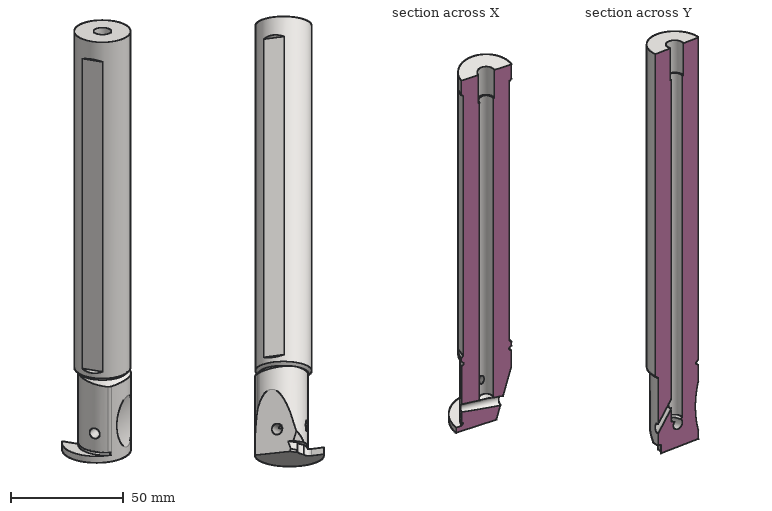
import cadquery as cq
import math

total_length = 202.7
shank_radius = 12.5
shank_bottom = 40.1

flat_distance = 11.5
flat_bottom = 43.4
flat_top = 193.2

neck_radius = 11.1
neck_z = shank_bottom - (shank_radius - neck_radius)

disc_radius = 15.5
disc_center_x = shank_radius - disc_radius
disc_thickness = 3.2

head_radius = shank_radius
head_offset = 1.8
ridge_radius = 4.0
head_edge_x = 8.1
undercut_top = disc_thickness + 1.2
undercut_depth = 0.8

relief_y = 5.0
relief_slope = 15.0
relief_twist = 4.0

tooth_y = -4.3
pocket_height = undercut_top
pocket_wall_x = -7.7
pocket_corner = 2.5
pocket_step = 1.5
pocket_step_y = -1.2
pocket_arc_y = 1.8
pocket_bend_y = 2.6
pocket_end_x = -3.0
pocket_end_y = 7.5

facet_point = (-10.1, pocket_bend_y, pocket_height)
facet_normal = (-1.0, 1.0, -0.7)

scoop_radius = 46.6
scoop_face_x = 11.0
scoop_z = 16.8
scoop_turn = -5.0

bore_diameter = 6.7
bore_bottom = 14.2
bore_mouth_diameter = 8.0
bore_mouth_depth = 16.2
drill_point_angle = 118.0
screw_diameter = 4.9
screw_x = 1.5
screw_z = 13.4
screw_tilt = 9.0
coolant_diameter = 2.8
coolant_y = -0.8
coolant_z = 13.0
coolant_rise = 53.0

tool_size = 81.0


def cylinder(radius, bottom, height, x=0.0):
    return cq.Workplane("XY", origin=(x, 0, bottom)).circle(radius).extrude(height)


def hole(entry, direction, diameter, length):
    """Straight hole that starts one diameter outside its entry point."""
    axis = cq.Vector(*direction).normalized()
    start = cq.Vector(*entry) - axis * diameter
    return cq.Workplane(obj=cq.Solid.makeCylinder(diameter / 2, length + diameter, start, axis))


def half_space(point, normal):
    """Block on the outer side of a plane given by a point and its normal."""
    return cq.Workplane(cq.Plane(origin=point, normal=normal)).rect(tool_size, tool_size).extrude(tool_size)


def make_shank():
    shank = cylinder(shank_radius, shank_bottom, total_length - shank_bottom)
    depth = shank_radius - flat_distance
    outline = [
        (flat_distance, flat_bottom),
        (flat_distance, flat_top),
        (shank_radius, flat_top + depth),
        (shank_radius, flat_bottom - depth),
    ]
    for side in (-1, 1):
        points = [(side * y, z) for y, z in outline]
        flat = cq.Workplane("YZ").polyline(points).close().extrude(shank_radius, both=True)
        shank = shank.cut(flat)
    return shank


def make_neck():
    flare_radius = disc_radius
    flare_z = neck_z - (flare_radius - neck_radius)
    profile = [
        (0, shank_bottom),
        (shank_radius, shank_bottom),
        (neck_radius, neck_z),
        (flare_radius, flare_z),
        (flare_radius, 0),
        (0, 0),
    ]
    return cq.Workplane("XZ").polyline(profile).close().revolve()


def make_head():
    left = cylinder(head_radius, 0, neck_z, head_offset)
    right = cylinder(disc_radius, 0, neck_z, disc_center_x)
    body = left.intersect(right).edges("|Z and (not >X)").fillet(ridge_radius)
    return body.intersect(make_neck()).cut(make_undercut())


def make_undercut():
    outer_radius = head_radius + undercut_depth
    profile = [
        (head_radius - undercut_depth, undercut_top),
        (outer_radius, undercut_top),
        (outer_radius, disc_thickness),
        (head_radius, disc_thickness),
    ]
    ring = cq.Workplane("XZ").polyline(profile).close().revolve(360, (0, 0), (0, 1))
    return ring.translate((head_offset, 0, 0)).cut(half_space((head_edge_x, 0, 0), (1, 0, 0)))


def make_back_relief():
    slope = math.radians(relief_slope)
    twist = math.radians(relief_twist)
    normal = (-math.sin(twist) * math.cos(slope), math.cos(twist) * math.cos(slope), -math.sin(slope))
    return half_space((0, relief_y, 0), normal)


def make_chip_pocket():
    outer = -tool_size / 2
    diagonal = pocket_corner * math.sqrt(0.5)
    step_x = pocket_wall_x - pocket_step
    corner_x = step_x - pocket_corner
    corner_y = tooth_y + pocket_corner
    step_arc_radius = ((pocket_arc_y - pocket_step_y) ** 2 + pocket_step**2) / (2 * pocket_step)
    pocket = (
        cq.Workplane("XY")
        .moveTo(outer, tooth_y)
        .lineTo(corner_x, tooth_y)
        .threePointArc((corner_x + diagonal, corner_y - diagonal), (step_x, corner_y))
        .lineTo(step_x, pocket_step_y)
        .radiusArc((pocket_wall_x, pocket_arc_y), -step_arc_radius)
        .lineTo(pocket_wall_x, pocket_bend_y)
        .lineTo(pocket_end_x, pocket_end_y)
        .lineTo(pocket_end_x, tool_size / 2)
        .lineTo(outer, tool_size / 2)
        .close()
        .extrude(pocket_height)
    )
    behind_bend = half_space((0, pocket_bend_y, 0), (0, 1, 0))
    return pocket.union(half_space(facet_point, facet_normal).intersect(behind_bend))


def make_scoop():
    scoop = (
        cq.Workplane("XZ", origin=(scoop_face_x + scoop_radius, 0, scoop_z))
        .circle(scoop_radius)
        .extrude(tool_size / 2, both=True)
    )
    return scoop.rotate((0, 0, 0), (0, 0, 1), scoop_turn)


def make_bore():
    radius = bore_diameter / 2
    tip = radius / math.tan(math.radians(drill_point_angle / 2))
    mouth_radius = bore_mouth_diameter / 2
    mouth_bottom = total_length - bore_mouth_depth
    profile = [
        (0, total_length),
        (mouth_radius, total_length),
        (mouth_radius, mouth_bottom),
        (radius, mouth_bottom),
        (radius, bore_bottom),
        (0, bore_bottom - tip),
    ]
    return cq.Workplane("XZ").polyline(profile).close().revolve()


def make_screw_hole():
    entry = (screw_x, -shank_radius, screw_z)
    twist = math.tan(math.radians(relief_twist))
    direction = (-twist, 1, -math.tan(math.radians(screw_tilt)))
    return hole(entry, direction, screw_diameter, 2 * shank_radius)


def make_coolant_hole():
    rise = math.radians(coolant_rise)
    reach = head_radius - head_offset
    direction = (math.cos(rise), 0, math.sin(rise))
    return hole((-reach, coolant_y, coolant_z), direction, coolant_diameter, reach / math.cos(rise))


neck_cone = make_neck().intersect(cylinder(shank_radius, neck_z, shank_bottom - neck_z))
disc = cylinder(disc_radius, 0, disc_thickness, disc_center_x)
head = make_head().union(disc)
head = head.cut(make_back_relief()).cut(make_chip_pocket()).cut(make_scoop())

result = make_shank().union(neck_cone).union(head)
result = result.cut(make_bore()).cut(make_screw_hole()).cut(make_coolant_hole())